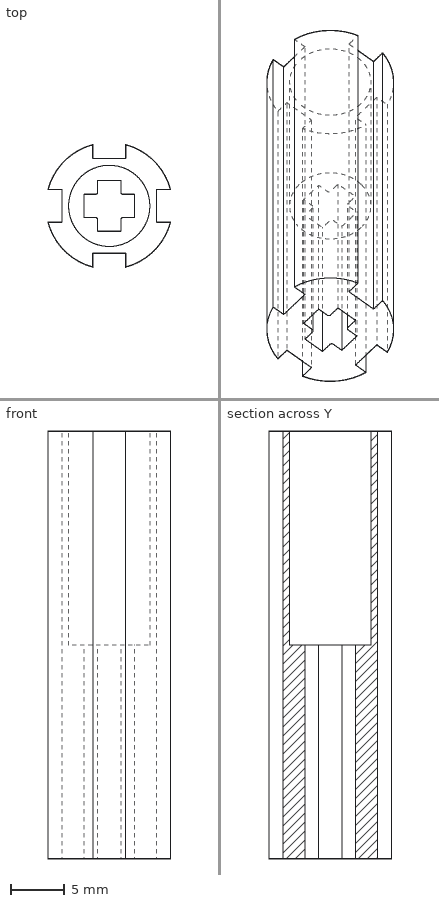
import cadquery as cq
import math

length = 40.0
span = 11.5
slot_width = 3.05
slot_floor_distance = 4.45
slot_count = 4
bore_diameter = 7.6
bore_depth = length / 2
cross_span = 4.7
cross_arm_width = 2.15
cross_corner_radius = 0.2

outer_radius = math.hypot(span / 2, slot_width / 2)


def slot_cutter(angle):
    """Full-length rectangular groove, turned about Z from the +X side."""
    cutter_depth = outer_radius - slot_floor_distance
    return (
        cq.Workplane("XY")
        .box(cutter_depth, slot_width, length, centered=(False, True, False))
        .translate((slot_floor_distance, 0, 0))
        .rotate((0, 0, 0), (0, 0, 1), angle)
    )


def cross_cutter():
    """Full-length cross with rounded inner corners."""
    along_x = cq.Workplane("XY").box(
        cross_span, cross_arm_width, length, centered=(True, True, False)
    )
    along_y = along_x.rotate((0, 0, 0), (0, 0, 1), 90)
    reach = (cross_arm_width + cross_span) / 4
    inner_corners = cq.selectors.BoxSelector((-reach, -reach, 0), (reach, reach, length))
    return along_x.union(along_y).edges("|Z").edges(inner_corners).fillet(cross_corner_radius)


body = cq.Workplane("XY").circle(outer_radius).extrude(length)

for index in range(slot_count):
    body = body.cut(slot_cutter(index * 360 / slot_count))

bore = (
    cq.Workplane("XY")
    .workplane(offset=length - bore_depth)
    .circle(bore_diameter / 2)
    .extrude(bore_depth)
)

result = body.cut(bore).cut(cross_cutter())